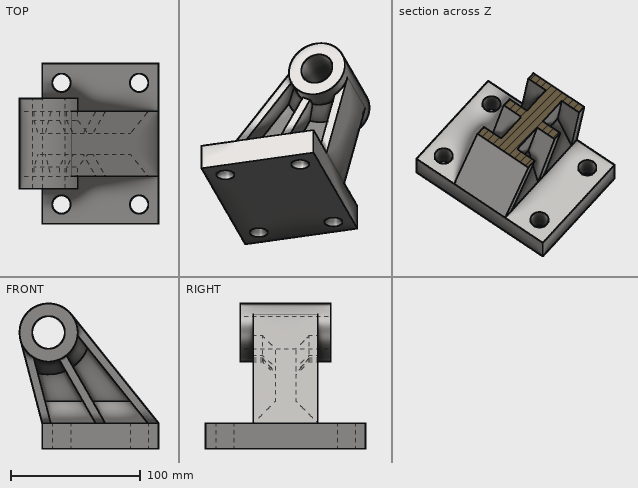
import cadquery as cq
import math

PLATE_LENGTH = 90.0
PLATE_WIDTH = 124.0
PLATE_THICKNESS = 20.0
HOLE_DIAMETER = 14.0
HOLE_EDGE_DISTANCE = 15.0

BARREL_X = 5.0
BARREL_Z = 90.0
BARREL_RADIUS = 22.5
BARREL_LENGTH = 70.0
BORE_DIAMETER = 25.0

SUPPORT_WIDTH = 50.0
WALL_THICKNESS = 6.5
WEB_THICKNESS = 16.0
RIB_FOOT_X = PLATE_LENGTH / 2
FLOOR_RISE = 17.0
COLLAR_RADIUS = 32.5

HALF_SUPPORT = SUPPORT_WIDTH / 2
HALF_WEB = WEB_THICKNESS / 2
COLLAR_RISE = COLLAR_RADIUS - BARREL_RADIUS


def prism(points, y_start, y_end):
    """Extrude an XZ outline from y_start to the larger y_end."""
    outline = cq.Workplane("XZ", origin=(0, y_end, 0)).polyline(points).close()
    return outline.extrude(y_end - y_start)


def barrel_cylinder(radius, length):
    """Cylinder on the barrel axis, centred on Y = 0."""
    circle = cq.Workplane("XZ").center(BARREL_X, BARREL_Z).circle(radius)
    return circle.extrude(length / 2, both=True)


def tangent_line(foot_x, side):
    """Foot, tangent point and inward normal of a line from the plate top to the barrel.

    side is -1 for the line touching the barrel on its -X side, +1 for the +X side.
    """
    dx = BARREL_X - foot_x
    dz = BARREL_Z - PLATE_THICKNESS
    distance = math.hypot(dx, dz)
    angle = math.atan2(dz, dx) - side * math.asin(BARREL_RADIUS / distance)
    length = math.sqrt(distance**2 - BARREL_RADIUS**2)
    direction = (math.cos(angle), math.sin(angle))
    touch = (foot_x + length * direction[0], PLATE_THICKNESS + length * direction[1])
    normal = (-side * direction[1], side * direction[0])
    return (foot_x, PLATE_THICKNESS), touch, normal


def make_plate():
    """Rectangular base with a through hole near each corner."""
    plate = cq.Workplane("XY").box(
        PLATE_LENGTH, PLATE_WIDTH, PLATE_THICKNESS, centered=(False, True, False)
    )
    spacing_x = PLATE_LENGTH - 2 * HOLE_EDGE_DISTANCE
    spacing_y = PLATE_WIDTH - 2 * HOLE_EDGE_DISTANCE
    return (
        plate.faces(">Z").workplane(origin=(PLATE_LENGTH / 2, 0, 0))
        .rarray(spacing_x, spacing_y, 2, 2)
        .hole(HOLE_DIAMETER)
    )


def make_envelope(width):
    """Support block of the given Y width, whose end faces are tangent to the barrel."""
    left_foot, left_touch, _ = tangent_line(0, -1)
    right_foot, right_touch, _ = tangent_line(PLATE_LENGTH, 1)
    axis = (BARREL_X, BARREL_Z)
    return prism([left_foot, right_foot, right_touch, axis, left_touch], -width / 2, width / 2)


def make_end_wall(foot_x, side):
    """Sloping wall along the -X (side -1) or +X (side +1) edge of the support."""
    foot, touch, normal = tangent_line(foot_x, side)
    inner_shift = WALL_THICKNESS / normal[0]
    inner_foot = (foot[0] + inner_shift, foot[1])
    inner_touch = (touch[0] + WALL_THICKNESS * normal[0], touch[1] + WALL_THICKNESS * normal[1])
    return prism([foot, touch, inner_touch, inner_foot], -HALF_SUPPORT, HALF_SUPPORT)


def make_rib():
    """Middle rib aimed at the barrel axis."""
    dx = BARREL_X - RIB_FOOT_X
    dz = BARREL_Z - PLATE_THICKNESS
    half_foot = WALL_THICKNESS / 2 * math.hypot(dx, dz) / dz
    foot_left = (RIB_FOOT_X - half_foot, PLATE_THICKNESS)
    foot_right = (RIB_FOOT_X + half_foot, PLATE_THICKNESS)
    top_left = (BARREL_X - half_foot, BARREL_Z)
    top_right = (BARREL_X + half_foot, BARREL_Z)
    return prism([foot_left, foot_right, top_right, top_left], -HALF_SUPPORT, HALF_SUPPORT)


def make_floor_slopes():
    """Sloped pocket floors rising from the support sides to the web."""
    crest = PLATE_THICKNESS + FLOOR_RISE
    outline = [
        (-HALF_SUPPORT, PLATE_THICKNESS),
        (HALF_SUPPORT, PLATE_THICKNESS),
        (HALF_WEB, crest),
        (-HALF_WEB, crest),
    ]
    return cq.Workplane("YZ").polyline(outline).close().extrude(PLATE_LENGTH)


def make_collar():
    """Double cone that spreads the barrel into the web."""
    outline = [
        (0, -HALF_WEB - COLLAR_RISE),
        (BARREL_RADIUS, -HALF_WEB - COLLAR_RISE),
        (COLLAR_RADIUS, -HALF_WEB),
        (COLLAR_RADIUS, HALF_WEB),
        (BARREL_RADIUS, HALF_WEB + COLLAR_RISE),
        (0, HALF_WEB + COLLAR_RISE),
    ]
    profile = cq.Workplane("XY", origin=(BARREL_X, 0, BARREL_Z)).polyline(outline).close()
    return profile.revolve(360, (0, 0, 0), (0, 1, 0))


def make_support():
    """Web, end walls, middle rib and the slopes that blend the pockets."""
    envelope = make_envelope(SUPPORT_WIDTH)
    web = make_envelope(WEB_THICKNESS)
    end_walls = make_end_wall(0, -1).union(make_end_wall(PLATE_LENGTH, 1))
    pocket_slopes = envelope.intersect(make_floor_slopes().union(make_collar()))
    return web.union(end_walls).union(make_rib()).union(pocket_slopes)


barrel = barrel_cylinder(BARREL_RADIUS, BARREL_LENGTH)
bore = barrel_cylinder(BORE_DIAMETER / 2, BARREL_LENGTH)
result = make_plate().union(make_support()).union(barrel).cut(bore)